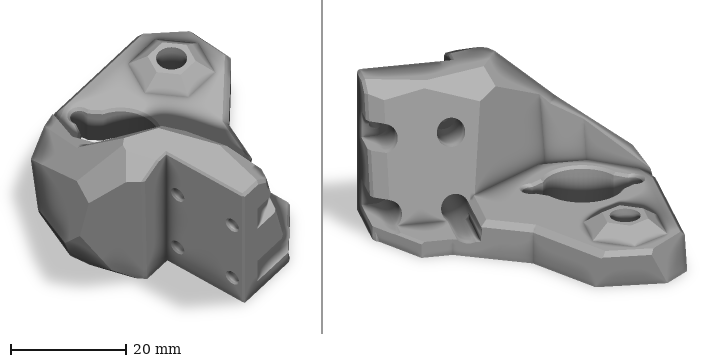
import cadquery as cq
import math

LENGTH_X = 50.5
LENGTH_Y = 53.9
HEIGHT = 26.9
REACH = 161.75

PLATE_TOP = 7.0
PLATE_FRONT = 16.15
PLATE_END_X = 33.75
OUTER_CHAMFER = 0.9
INNER_CHAMFER = 1.1
BACK_CORNER = (14.95, 54.7)
WAIST = (25.45, 40.3)
STEP = (PLATE_END_X, 36.25)
OPENING_X = 13.3
OPENING_Y = 25.35
OPENING_RADIUS = 7.0
LOBE_RADIUS = 1.6
LOBE_OFFSET = 9.0
SHOULDER_OUTER = (8.5, LOBE_RADIUS)
SHOULDER_INNER = (5.4, 3.7)
OPENING_CHAMFER = 0.5

BOSS_X = 9.9
BOSS_Y = 44.2
BOSS_TOP = 9.45
BOSS_BASE_FLATS = 13.25
BOSS_TOP_FLATS = 7.3
BOSS_HOLE = 5.4

FLOOR_TOP = 3.0
FLOOR_FRONT = 21.55
FLOOR_OVERLAP = 2.7
FLOOR_LEFT = (38.3, 33.95)
FLOOR_RIGHT = (43.85, 33.95)
FLOOR_END = (LENGTH_X, 24.75)
FLOOR_CHAMFER = 0.45

NOTCH_X = 33.6
MOUNT_Y = 12.1
MOUNT_CHAMFER = 0.4
END_CHAMFER = 0.55
SCREW_X = (36.05, 48.05)
SCREW_Z = (5.0, 18.05)
SCREW_HOLE = 2.3
SCREW_RIM = 2.9
SCREW_RIM_DEPTH = (SCREW_RIM - SCREW_HOLE) / 2
HEAD_BORE = 5.0
HEAD_SEAT = 4.0
SEAT_Y = MOUNT_Y + HEAD_SEAT

CREST_LOW = (2.65, 17.5, 9.75)
CREST_FOOT = (4.8, 10.9, 8.3)
CREST_TOP = (25.55, 10.5, HEIGHT)
CREST_BEND = (14.9, 10.95, 17.4)
BELLY_TOP = (20.6, 3.55, 18.75)
BELLY_NOSE = (25.4, 0.65, 18.45)
NOSE_TIP = (24.05, 0.0, 10.05)
BELLY_LOW = (19.2, 1.7, 4.25)
CHIN_LOW = (9.25, 7.1, 1.85)
CHIN_BASE = (8.95, 7.85, 0.0)
CHEEK_BASE = (2.25, 15.35, 0.0)
SHOULDER_TOP = (27.7, 8.3, HEIGHT)
NOSE_CAP = (30.95, 4.0, 24.6)
NOTCH_CAP = (33.15, 9.7, HEIGHT)
LOW_BASE = (19.6, 2.95, 0.0)
NOSE_LOW = (28.75, 3.0, 2.1)
NOSE_BASE = (23.6, 3.3, 0.0)
NOTCH_BASE = (33.2, 5.6, 0.45)
SIDE_BASE = (0.0, 25.05, 0.0)
SIDE_TOP = (0.0, 23.6, 4.9)
CORNER_LEFT = (0.0, 49.1, 0.0)
CORNER_LEFT_TOP = (0.0, 47.2, 6.1)
CORNER_BACK = (4.4, 53.1, 0.0)
BACK_LEFT = (7.0, LENGTH_Y, 6.1)
BACK_RIGHT = (16.1, 53.1, 6.1)

OUTER_FACETS = [
    (CREST_FOOT, BELLY_NOSE, BELLY_LOW),
    (CREST_LOW, BELLY_TOP, CREST_TOP),
    (BELLY_TOP, NOSE_CAP, SHOULDER_TOP),
    (BELLY_NOSE, NOSE_TIP, NOSE_CAP),
    (SHOULDER_TOP, NOSE_CAP, NOTCH_CAP),
    (NOSE_TIP, LOW_BASE, NOSE_LOW),
    (NOSE_LOW, NOSE_BASE, NOTCH_BASE),
    (BELLY_LOW, CHIN_LOW, CHIN_BASE),
    (CREST_FOOT, CHIN_LOW, CHEEK_BASE),
    (CREST_LOW, CREST_FOOT, CHEEK_BASE),
    (SIDE_BASE, SIDE_TOP, CHEEK_BASE),
    (CORNER_LEFT, CORNER_LEFT_TOP, CORNER_BACK),
    (CORNER_BACK, BACK_LEFT, BACK_RIGHT),
]

RIM_LEFT = (10.9, 14.8, 14.45)
RIM_BEND = (18.1, 13.35, 19.05)
RIM_HIGH = (27.3, 18.85, 24.2)
BACK_HIGH = (30.6, 21.45, 22.9)
BACK_PEAK = (40.3, 20.6, 26.0)
TOP_LEFT = (28.6, 16.0, HEIGHT)
TOP_PEAK = (39.8, 19.25, HEIGHT)
TOP_RIGHT = (49.9, 16.55, HEIGHT)
INNER_LEFT = (2.55, 21.15, 8.75)
INNER_FRONT = (10.55, 15.95, PLATE_TOP)
INNER_BEND = (17.65, 15.1, PLATE_TOP)
INNER_BACK = (32.5, 25.6, PLATE_TOP)
BACK_END_LOW = (47.7, 25.45, PLATE_TOP)
BACK_END_HIGH = (47.7, 20.85, 24.4)
END_BACK = (LENGTH_X, 23.65, PLATE_TOP)

LOW_RIM = (CREST_LOW, CREST_BEND, RIM_LEFT)
HIGH_RIM = (CREST_TOP, RIM_HIGH, RIM_BEND)
LEFT_INNER = (INNER_LEFT, RIM_LEFT, INNER_FRONT)
FRONT_INNER = (INNER_FRONT, INNER_BEND, RIM_BEND)
RIGHT_INNER = (INNER_BEND, INNER_BACK, RIM_HIGH)
BACK_FACETS = [
    (RIM_HIGH, BACK_PEAK, TOP_LEFT),
    (BACK_PEAK, TOP_PEAK, TOP_RIGHT),
    (INNER_BACK, BACK_HIGH, BACK_PEAK),
    (BACK_END_LOW, BACK_END_HIGH, END_BACK),
]
INSIDE = cq.Vector(16.15, 6.45, 8.1)


def trim(body, facets):
    """Remove all material beyond each facet plane, keeping the side that holds INSIDE."""
    for corners in facets:
        first, second, third = (cq.Vector(*corner) for corner in corners)
        along = second - first
        normal = along.cross(third - first)
        if normal.dot(INSIDE - first) > 0:
            normal = normal * -1
        plane = cq.Plane(origin=first.toTuple(), xDir=along.toTuple(), normal=normal.toTuple())
        body = body.cut(cq.Workplane(plane).rect(2 * REACH, 2 * REACH).extrude(REACH))
    return body


def chamfer_at(body, size, points):
    """Chamfer the edges whose centres lie nearest to the points."""
    edges = [body.edges(cq.selectors.NearestToPointSelector(point)).val() for point in points]
    return body.newObject(edges).chamfer(size)


def block(low, high):
    """Box between two opposite corners."""
    size = [end - start for start, end in zip(low, high)]
    return cq.Workplane("XY").box(*size, centered=False).translate(low)


def rod(x, z, diameter, start_y, end_y):
    """Cylinder along Y."""
    work = cq.Workplane("XZ", origin=(x, start_y, z))
    return work.circle(diameter / 2).extrude(start_y - end_y)


def head_bore(x, z):
    """Screw head recess; the one beside the end face runs out through it."""
    bore = rod(x, z, HEAD_BORE, SEAT_Y, LENGTH_Y)
    if x == max(SCREW_X):
        half = HEAD_BORE / 2
        bore = bore.union(block((x, SEAT_Y, z - half), (LENGTH_X + 0.55, LENGTH_Y, z + half)))
    return bore


def make_wall():
    """Faceted wall up to the notch plane, with a bevelled rim along the notch."""
    shell = trim(block((0, 0, 0), (LENGTH_X, LENGTH_Y, HEIGHT)), OUTER_FACETS + BACK_FACETS)
    left_part = trim(shell, [LOW_RIM, LEFT_INNER])
    low_part = trim(shell, [LOW_RIM, FRONT_INNER])
    middle_part = trim(shell, [HIGH_RIM, FRONT_INNER])
    high_part = trim(shell, [HIGH_RIM, RIGHT_INNER])
    body = high_part.union(middle_part).union(low_part).union(left_part)
    body = body.cut(block((NOTCH_X, -0.55, -0.55), (LENGTH_X + 0.55, LENGTH_Y, HEIGHT + 0.55)))
    rim = [
        (NOTCH_X, 10.8, HEIGHT),
        (NOTCH_X, 7.55, 25.9),
        (NOTCH_X, 5.9, 12.4),
        (NOTCH_X, 6.05, 0.2),
        (NOTCH_X, 10.8, 0),
    ]
    return chamfer_at(body, MOUNT_CHAMFER, rim)


def make_mount():
    """Block behind the mounting face, bevelled around that face and along its end."""
    mount = block((NOTCH_X - 0.55, MOUNT_Y, 0), (LENGTH_X, LENGTH_Y, HEIGHT))
    front_edges = [(42.05, MOUNT_Y, HEIGHT), (42.05, MOUNT_Y, 0), (LENGTH_X, MOUNT_Y, 13.5)]
    mount = trim(chamfer_at(mount, MOUNT_CHAMFER, front_edges), BACK_FACETS)
    end_edges = [(LENGTH_X, 14.55, HEIGHT), (LENGTH_X, 18.35, 25.9), (LENGTH_X, 21.55, 15.1)]
    return chamfer_at(mount, END_CHAMFER, end_edges)


def make_plate():
    """Base plate with bevelled top edges."""
    outline = [
        (0, PLATE_FRONT),
        (0, BACK_CORNER[1]),
        BACK_CORNER,
        WAIST,
        STEP,
        (PLATE_END_X, PLATE_FRONT),
    ]
    body = cq.Workplane("XY").polyline(outline).close().extrude(PLATE_TOP)
    body = trim(body, OUTER_FACETS)
    outer_edges = [(0, 35.05, PLATE_TOP), (1.1, 21.55, PLATE_TOP), (11.3, 53.35, PLATE_TOP)]
    inner_edges = [(20.75, 46.75, PLATE_TOP), (29.65, 38.3, PLATE_TOP), (PLATE_END_X, 26.4, PLATE_TOP)]
    body = chamfer_at(body, OUTER_CHAMFER, outer_edges)
    return chamfer_at(body, INNER_CHAMFER, inner_edges)


def cut_opening(body):
    """Round opening with a lobe on each side, blended by straight shoulders."""
    outer_x, outer_y = SHOULDER_OUTER
    inner_x, inner_y = SHOULDER_INNER
    upper = [(-outer_x, outer_y), (-inner_x, inner_y), (inner_x, inner_y), (outer_x, outer_y)]
    lower = [(x, -y) for x, y in reversed(upper)]
    base = cq.Workplane("XY", origin=(OPENING_X, OPENING_Y, 0))
    half_length = LOBE_OFFSET + LOBE_RADIUS
    opening = base.circle(OPENING_RADIUS).extrude(PLATE_TOP)
    opening = opening.union(base.polyline(upper + lower).close().extrude(PLATE_TOP))
    opening = opening.union(base.slot2D(2 * half_length, 2 * LOBE_RADIUS).extrude(PLATE_TOP))
    margin = 0.55
    rim = cq.selectors.BoxSelector(
        (OPENING_X - half_length - margin, OPENING_Y - OPENING_RADIUS - margin, PLATE_TOP - margin / 10),
        (OPENING_X + half_length + margin, OPENING_Y + OPENING_RADIUS + margin, PLATE_TOP + margin / 10),
    )
    return body.cut(opening).edges(rim).chamfer(OPENING_CHAMFER)


def make_boss():
    """Tapered hexagonal boss with its corners along Y."""
    to_corners = 1 / math.cos(math.pi / 6)
    base = cq.Workplane("XY", origin=(BOSS_X, BOSS_Y, PLATE_TOP)).transformed(rotate=(0, 0, 30))
    base = base.polygon(6, BOSS_BASE_FLATS * to_corners)
    base = base.workplane(offset=BOSS_TOP - PLATE_TOP)
    return base.polygon(6, BOSS_TOP_FLATS * to_corners).loft(ruled=True)


def make_floor():
    """Low floor between the plate and the end face, with its slanted edge bevelled."""
    start_x = PLATE_END_X - FLOOR_OVERLAP
    outline = [(start_x, FLOOR_FRONT), STEP, FLOOR_LEFT, FLOOR_RIGHT, FLOOR_END, (LENGTH_X, FLOOR_FRONT)]
    floor = cq.Workplane("XY").polyline(outline).close().extrude(FLOOR_TOP)
    slanted_edge = ((FLOOR_RIGHT[0] + FLOOR_END[0]) / 2, (FLOOR_RIGHT[1] + FLOOR_END[1]) / 2, FLOOR_TOP)
    return chamfer_at(floor, FLOOR_CHAMFER, [slanted_edge])


def drill_screws(body):
    """Drill the screw holes from the mounting face, with bevelled rims."""
    for x in SCREW_X:
        for z in SCREW_Z:
            body = body.cut(rod(x, z, SCREW_HOLE, MOUNT_Y - 0.55, LENGTH_Y))
            center = cq.Vector(x, MOUNT_Y, z)
            rim = cq.Solid.makeCone(
                SCREW_RIM / 2, SCREW_HOLE / 2, SCREW_RIM_DEPTH, center, cq.Vector(0, 1, 0)
            )
            body = body.cut(cq.Workplane(rim))
    return body


wall = make_wall().union(make_mount()).clean()
plate = cut_opening(make_plate())
result = wall.union(plate).union(make_floor()).union(make_boss())
for screw_x in SCREW_X:
    for screw_z in SCREW_Z:
        result = result.cut(head_bore(screw_x, screw_z))
boss_hole = cq.Workplane("XY", origin=(BOSS_X, BOSS_Y, 0)).circle(BOSS_HOLE / 2).extrude(BOSS_TOP)
result = drill_screws(result).cut(boss_hole)